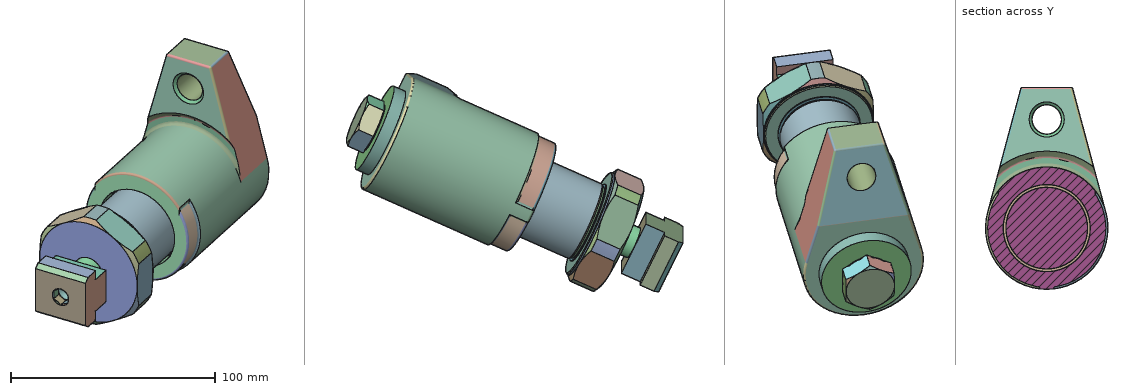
import cadquery as cq
import math


NECK_START = 9.2
COLLAR_START = 9.7
BODY_START = 16.0
LEVER_FRONT = 43.9
BODY_END = 94.5
SHAFT_CHAMFER_START = 123.2
NUT_START = 125.5
NUT_HEX_START = 126.8
NUT_END = 142.5
SLOT_NUT_START = 149.8
SLOT_NUT_HEAD_START = 160.0
TOTAL_LENGTH = 170.0

BODY_DIAMETER = 60.0
BODY_R = BODY_DIAMETER / 2
COLLAR_R = 22.5
SHAFT_R = 20.0
SHAFT_CHAMFER = 0.8
ROD_R = 8.0
BORE_R = 21.2
BORE_DEPTH = 10.2

TOTAL_HEIGHT = 99.0
LEVER_TOP = TOTAL_HEIGHT - BODY_R
LEVER_TILT = math.radians(15)
LEVER_TOP_THICKNESS = 18.2
LEVER_HOLE_Z = 53.2
LEVER_HOLE_R = 7.1
LEVER_HOLE_CHAMFER = 1.45
EDGE_ROUND = 1.0

GROOVE_DEPTH = 2.7
GROOVE_FLOOR_R = 34.7
GROOVE_MOUTH_R = 37.7
GROOVE_ROOT_ROUND = 1.62
GROOVE_CORNER_ROUND = 1.4

RECESS_LENGTH = 10.2
RECESS_STEP = 1.0
RECESS_WALL_X = 23.8
KEY_HALF_WIDTH = 3.4

HEAD_FLATS = 24.1
HEAD_CHAMFER = 1.0
NUT_FLATS = 55.0
NUT_CORNER_R = BODY_R
NUT_CHAMFER = 1.5
NUT_FACE_R = 27.2
NUT_FACE_CHAMFER = 0.5
NUT_COLLAR_R = 20.5
NUT_COLLAR_LENGTH = 0.5

SLOT_NUT_SIZE = 28.2
SLOT_NUT_NECK_HEIGHT = 18.0
SLOT_NUT_CHAMFER_Y = 2.0
SLOT_NUT_CHAMFER_Z = 2.5
SOCKET_FLATS = 8.0
SOCKET_DEPTH = 5.1

HEX_CORNER_RATIO = 2 / math.sqrt(3)


def section(station):
    """Sketch plane across the axis: local x is X, local y is Z, extrusion runs toward -Y."""
    return cq.Workplane("XZ", origin=(0, -station, 0))


def cylinder(start, end, radius):
    return section(start).circle(radius).extrude(end - start)


def turned(points):
    """Solid of revolution about the main axis from (radius, station) points."""
    outline = [(radius, -station) for radius, station in points]
    return cq.Workplane("XY").polyline(outline).close().revolve(360, (0, 0, 0), (0, 1, 0))


def hexagon(start, end, flats):
    """Hexagonal prism with corners pointing along Z."""
    prism = section(start).polygon(6, flats * HEX_CORNER_RATIO).extrude(end - start)
    return prism.rotate((0, 0, 0), (0, 1, 0), 30)


def make_head():
    corner_r = HEAD_FLATS / 2 * HEX_CORNER_RATIO
    envelope = turned([
        (0, 0),
        (HEAD_FLATS / 2, 0),
        (corner_r, HEAD_CHAMFER),
        (corner_r, NECK_START),
        (0, NECK_START),
    ])
    head = hexagon(0, NECK_START, HEAD_FLATS).intersect(envelope)
    neck = cylinder(NECK_START, COLLAR_START, HEAD_FLATS / 2)
    collar = cylinder(COLLAR_START, BODY_START, COLLAR_R)
    return head.union(neck).union(collar)


def make_lever_blank():
    """Lever whose tilted sides run tangent into the body cylinder, with a sloped back."""
    tangent_x = BODY_R * math.cos(LEVER_TILT)
    tangent_z = BODY_R * math.sin(LEVER_TILT)
    top_x = tangent_x - (LEVER_TOP - tangent_z) * math.tan(LEVER_TILT)
    blank = (
        section(BODY_START)
        .moveTo(-tangent_x, tangent_z)
        .lineTo(-top_x, LEVER_TOP)
        .lineTo(top_x, LEVER_TOP)
        .lineTo(tangent_x, tangent_z)
        .threePointArc((0, -BODY_R), (-tangent_x, tangent_z))
        .close()
        .extrude(LEVER_FRONT - BODY_START)
    )
    back_wedge = (
        cq.Workplane("YZ")
        .moveTo(-BODY_START, BODY_R)
        .lineTo(-BODY_START, LEVER_TOP)
        .lineTo(LEVER_TOP_THICKNESS - LEVER_FRONT, LEVER_TOP)
        .close()
        .extrude(BODY_R, both=True)
    )
    return blank.cut(back_wedge)


def make_groove():
    """Ring groove cut into the lever's front, with a rounded root on the body."""
    floor = -(LEVER_FRONT - GROOVE_DEPTH)
    root_middle = GROOVE_ROOT_ROUND * (1 - math.sqrt(0.5))
    groove = (
        cq.Workplane("XY")
        .moveTo(BODY_R, -LEVER_FRONT)
        .lineTo(GROOVE_MOUTH_R, -LEVER_FRONT)
        .lineTo(GROOVE_FLOOR_R, floor)
        .lineTo(BODY_R + GROOVE_ROOT_ROUND, floor)
        .threePointArc(
            (BODY_R + root_middle, floor - root_middle),
            (BODY_R, floor - GROOVE_ROOT_ROUND),
        )
        .close()
        .revolve(360, (0, 0, 0), (0, 1, 0))
    )
    floor_corner = groove.edges(cq.selectors.RadiusNthSelector(-2))
    return floor_corner.fillet(GROOVE_CORNER_ROUND)


def make_lever():
    blank = make_lever_blank()
    slope_normal = cq.Vector(0, LEVER_TOP - BODY_R, LEVER_FRONT - LEVER_TOP_THICKNESS - BODY_START)
    back_slope = blank.faces(cq.selectors.ParallelDirSelector(slope_normal))
    edges = blank.faces(">Z or >Y or <Y").edges().add(back_slope.edges())
    lever = blank.newObject(edges.vals()).fillet(EDGE_ROUND)
    hole = turned([
        (0, BODY_START),
        (LEVER_HOLE_R, BODY_START),
        (LEVER_HOLE_R, LEVER_FRONT - LEVER_HOLE_CHAMFER),
        (LEVER_HOLE_R + LEVER_HOLE_CHAMFER, LEVER_FRONT),
        (0, LEVER_FRONT),
    ])
    return lever.cut(hole.translate((0, 0, LEVER_HOLE_Z))).cut(make_groove())


def outside_lands(ring):
    """Keep only the stretches of a front end ring between the top land and the bottom key."""
    top_land = section(0).rect(2 * RECESS_WALL_X, 2 * BODY_R).extrude(BODY_END)
    key = section(0).rect(2 * KEY_HALF_WIDTH, 2 * BODY_R).extrude(BODY_END)
    return ring.cut(top_land.translate((0, 0, BODY_R))).cut(key.translate((0, 0, -BODY_R)))


def round_rim(radius):
    """Material to remove so that a cylinder of this radius ends in a rounded front edge."""
    start = BODY_END - EDGE_ROUND
    rounded = cylinder(BODY_START, BODY_END, radius).faces("<Y").edges().fillet(EDGE_ROUND)
    return cylinder(start, BODY_END, BODY_R).cut(rounded)


def make_recess():
    """Shallow band around the front end, with rounded roots along its floor."""
    start = BODY_END - RECESS_LENGTH
    floor_r = BODY_R - RECESS_STEP
    ring = cylinder(start, BODY_END, 2 * BODY_R - floor_r).cut(cylinder(start, BODY_END, floor_r))
    recess = outside_lands(ring)

    def on_floor(edge):
        middle = edge.positionAt(0.5)
        return math.isclose(math.hypot(middle.x, middle.z), floor_r, abs_tol=0.002)

    return recess.edges().filter(on_floor).edges("|Y or >Y").fillet(EDGE_ROUND)


def make_body():
    body = cylinder(BODY_START, BODY_END, BODY_R).faces("<Y or >Y").edges().fillet(EDGE_ROUND)
    body = body.cut(make_recess()).cut(outside_lands(round_rim(BODY_R - RECESS_STEP)))
    return body.cut(cylinder(BODY_END - BORE_DEPTH, BODY_END, BORE_R))


def make_shaft():
    tip_r = SHAFT_R - SHAFT_CHAMFER
    return turned([
        (0, BODY_START),
        (SHAFT_R, BODY_START),
        (SHAFT_R, SHAFT_CHAMFER_START),
        (tip_r, SHAFT_CHAMFER_START + SHAFT_CHAMFER),
        (tip_r, NUT_END),
        (0, NUT_END),
    ])


def make_hex_nut():
    flat_r = NUT_FLATS / 2
    envelope = turned([
        (0, NUT_HEX_START),
        (flat_r, NUT_HEX_START),
        (NUT_CORNER_R, NUT_HEX_START + NUT_CHAMFER),
        (NUT_CORNER_R, NUT_END - NUT_CHAMFER),
        (flat_r, NUT_END),
        (0, NUT_END),
    ])
    nut = hexagon(NUT_HEX_START, NUT_END, NUT_FLATS).intersect(envelope)
    washer_face = cylinder(NUT_START, NUT_HEX_START, NUT_FACE_R)
    washer_face = washer_face.faces(">Y").edges().chamfer(NUT_FACE_CHAMFER)
    collar = cylinder(NUT_START - NUT_COLLAR_LENGTH, NUT_START, NUT_COLLAR_R)
    return nut.union(washer_face).union(collar)


def make_slot_nut():
    """T-shaped nut on the rod."""
    neck_length = SLOT_NUT_HEAD_START - SLOT_NUT_START
    neck = section(SLOT_NUT_START).rect(SLOT_NUT_SIZE, SLOT_NUT_NECK_HEIGHT).extrude(neck_length)
    head_length = TOTAL_LENGTH - SLOT_NUT_HEAD_START
    head = section(SLOT_NUT_HEAD_START).rect(SLOT_NUT_SIZE, SLOT_NUT_SIZE).extrude(head_length)
    end_edges = head.faces("<Y").edges("|X")
    head = end_edges.chamfer(SLOT_NUT_CHAMFER_Z, SLOT_NUT_CHAMFER_Y)
    rod = cylinder(NUT_END, SLOT_NUT_START, ROD_R)
    return rod.union(neck).union(head)


def make_socket():
    """Hex socket with a conical bottom and a chamfered mouth."""
    bottom = TOTAL_LENGTH - SOCKET_DEPTH
    hexagonal = hexagon(bottom, TOTAL_LENGTH, SOCKET_FLATS)
    cone_r = SOCKET_FLATS / 2
    cone = turned([(0, bottom - cone_r), (cone_r, bottom), (0, bottom)])
    mouth_r = cone_r * HEX_CORNER_RATIO
    mouth_bottom = TOTAL_LENGTH - (mouth_r - cone_r)
    mouth = turned([
        (0, TOTAL_LENGTH),
        (mouth_r, TOTAL_LENGTH),
        (cone_r, mouth_bottom),
        (0, mouth_bottom),
    ])
    return hexagonal.union(cone).union(mouth)


result = (
    make_body()
    .union(make_shaft())
    .union(make_head())
    .union(make_lever())
    .union(make_hex_nut())
    .union(make_slot_nut())
    .cut(make_socket())
)